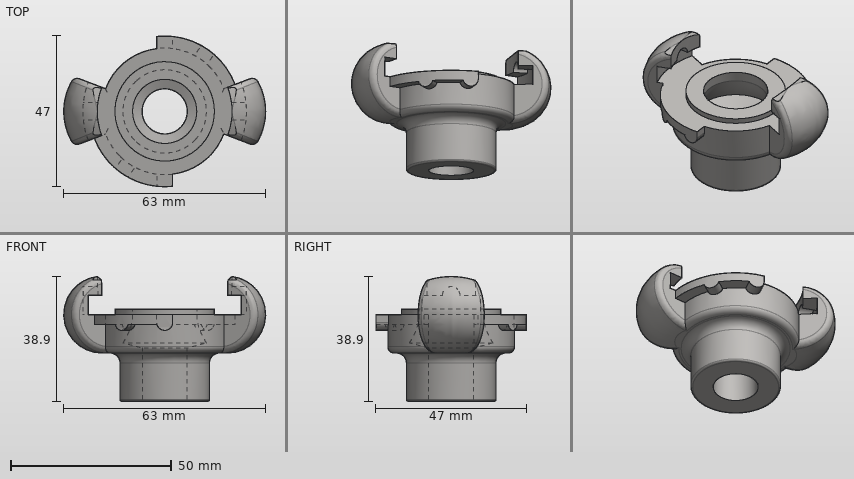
import cadquery as cq
import math

flange_bottom_z = 15.0
flange_top_z = 27.0
boss_top_z = 28.7

neck_radius = 14.0
neck_rim_fillet = 0.6
neck_fillet = 3.0
flange_radius = 19.75
flange_fillet = 2.0
boss_radius = 15.5

bore_radius = 7.0
mouth_radius = 10.0
mouth_depth = 3.2
chamber_radius = 13.0
chamber_bottom_z = 18.2
chamber_flare_radius = 20.0
cone_slope_angle = 15.0
cone_height = (chamber_radius - bore_radius) * math.tan(math.radians(cone_slope_angle))
cone_bottom_z = chamber_bottom_z - cone_height

lug_radius = 23.5
lug_thickness = 3.1
bump_radius = 2.5
bump_drop = 4.9
bump_spacing_angle = 35.0
bump_axis_z = flange_top_z - bump_drop + bump_radius

claw_half_angle = 21.0
claw_slope = math.tan(math.radians(claw_half_angle))
claw_section_radius = 12.0
claw_tube_offset = 7.0
claw_axis_x = 12.5
claw_root_x = 15.0
claw_edge_fillet = 2.0
claw_tip_radius = 21.0
claw_slot_radius = 25.5
claw_slot_height = 6.0
claw_crown_radius = 24.0
claw_notch_radius = 2.75

claw_centre_z = flange_bottom_z + claw_section_radius
claw_reach = claw_axis_x + claw_tube_offset + claw_section_radius
beyond = 2 * claw_reach


def cylinder(radius, bottom_z, top_z):
    return cq.Workplane("XY").workplane(offset=bottom_z).circle(radius).extrude(top_z - bottom_z)


def half_turn(shape):
    return shape.rotate((0, 0, 0), (0, 0, 1), 180)


def make_body():
    profile = (
        cq.Workplane("XZ")
        .lineTo(neck_radius - neck_rim_fillet, 0)
        .radiusArc((neck_radius, neck_rim_fillet), -neck_rim_fillet)
        .lineTo(neck_radius, flange_bottom_z - neck_fillet)
        .radiusArc((neck_radius + neck_fillet, flange_bottom_z), neck_fillet)
        .lineTo(flange_radius - flange_fillet, flange_bottom_z)
        .radiusArc((flange_radius, flange_bottom_z + flange_fillet), -flange_fillet)
        .lineTo(flange_radius, flange_top_z)
        .lineTo(boss_radius, flange_top_z)
        .lineTo(boss_radius, boss_top_z)
        .lineTo(0, boss_top_z)
        .close()
    )
    return profile.revolve(360, (0, 0, 0), (0, 1, 0))


def make_bore():
    mouth_bottom_z = boss_top_z - mouth_depth
    profile = (
        cq.Workplane("XZ")
        .lineTo(bore_radius, 0)
        .lineTo(bore_radius, cone_bottom_z)
        .lineTo(chamber_radius, chamber_bottom_z)
        .radiusArc((mouth_radius, mouth_bottom_z), chamber_flare_radius)
        .lineTo(mouth_radius, boss_top_z)
        .lineTo(0, boss_top_z)
        .close()
    )
    return profile.revolve(360, (0, 0, 0), (0, 1, 0))


def make_bump(angle):
    """Half-round rib under the lug; angle is measured from -Y towards -X."""
    bump = cq.Workplane("XZ").center(0, bump_axis_z).circle(bump_radius).extrude(beyond)
    return bump.rotate((0, 0, 0), (0, 0, 1), -angle)


def make_lug():
    """Lug on the -X, -Y quarter, from its square stop face round to the claw."""
    plate_bottom_z = flange_top_z - lug_thickness
    plate = (
        cq.Workplane("XZ")
        .polyline([
            (-beyond, plate_bottom_z),
            (0, plate_bottom_z),
            (0, bump_axis_z),
            (bump_radius, bump_axis_z),
            (bump_radius, flange_top_z),
            (-beyond, flange_top_z),
        ])
        .close()
        .extrude(beyond)
    )
    for angle in (0, bump_spacing_angle):
        plate = plate.union(make_bump(angle))
    ring = cylinder(lug_radius, flange_bottom_z, flange_top_z).cut(
        cylinder(boss_radius, flange_bottom_z, flange_top_z)
    )
    sector = (
        cq.Workplane("XY")
        .polyline([
            (0, 0),
            (-beyond, -beyond * claw_slope),
            (-beyond, -beyond),
            (beyond, -beyond),
            (beyond, 0),
        ])
        .close()
        .extrude(flange_top_z)
    )
    return ring.intersect(plate).intersect(sector)


def is_claw_side_edge(edge):
    """Curved edges beside the claw's middle plane lie along its two flanks."""
    return edge.geomType() != "LINE" and abs(edge.Center().y) > claw_root_x * claw_slope / 2


def make_claw():
    """Hook-shaped claw on the -X side."""
    top_z = claw_centre_z + claw_section_radius
    dome = (
        cq.Workplane("XZ")
        .moveTo(0, flange_bottom_z)
        .lineTo(claw_tube_offset, flange_bottom_z)
        .threePointArc((claw_tube_offset + claw_section_radius, claw_centre_z), (claw_tube_offset, top_z))
        .lineTo(0, top_z)
        .close()
        .revolve(360, (0, 0, 0), (0, 1, 0))
        .translate((-claw_axis_x, 0, 0))
    )
    wedge = (
        cq.Workplane("XY")
        .polyline([
            (-claw_root_x, -claw_root_x * claw_slope),
            (-claw_root_x, claw_root_x * claw_slope),
            (-beyond, beyond * claw_slope),
            (-beyond, -beyond * claw_slope),
        ])
        .close()
        .extrude(beyond)
    )
    claw = dome.intersect(wedge)
    side_edges = [edge for edge in claw.edges().vals() if is_claw_side_edge(edge)]
    claw = claw.newObject(side_edges).fillet(claw_edge_fillet)

    claw = claw.cut(cylinder(claw_slot_radius, flange_top_z, flange_top_z + claw_slot_height))
    claw = claw.cut(cylinder(claw_tip_radius, flange_top_z, beyond))
    notch = (
        cq.Workplane("YZ")
        .center(0, flange_top_z + claw_slot_height)
        .circle(claw_notch_radius)
        .extrude(-claw_slot_radius)
        .intersect(cylinder(claw_slot_radius, flange_top_z, beyond))
    )
    claw = claw.cut(notch)

    tip_run = claw_tip_radius - claw_axis_x - claw_tube_offset
    tip_top_z = claw_centre_z + math.sqrt(claw_section_radius**2 - tip_run**2)
    crown = (
        cq.Workplane("YZ")
        .center(0, tip_top_z - claw_crown_radius)
        .circle(claw_crown_radius)
        .extrude(-beyond)
    )
    return claw.intersect(crown)


result = make_body()
for feature in (make_lug(), make_claw()):
    result = result.union(feature).union(half_turn(feature))
result = result.cut(make_bore())